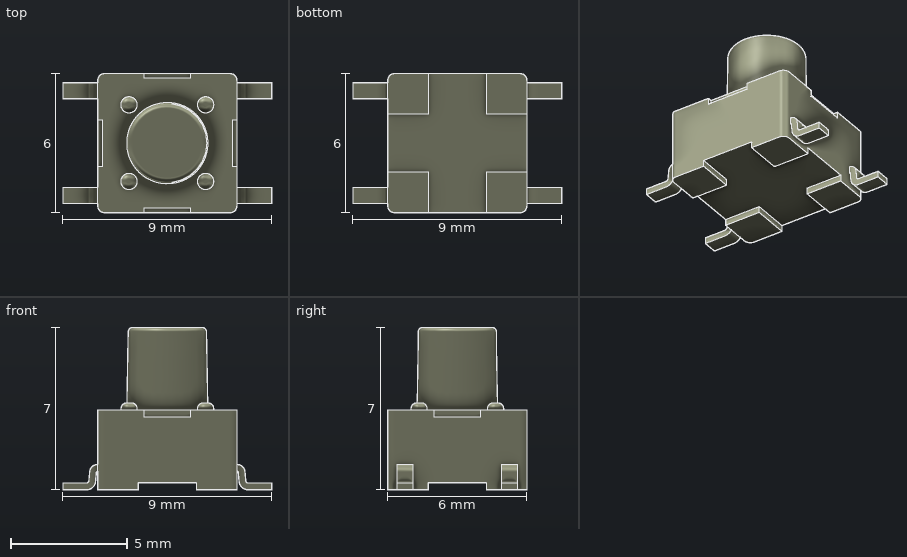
import cadquery as cq
import math

body_side = 6.0
corner_radius = 0.3
cover_thickness = 0.3
housing_height = 3.45
body_height = housing_height - cover_thickness

underside_channel_width = 2.5
underside_channel_depth = 0.3
cover_notch_width = 2.0
cover_notch_depth = 0.2

overall_height = 7.0
button_base_diameter = 3.5
button_draft_degrees = 1.0
button_rim_radius = 0.2

rivet_diameter = 0.7
rivet_spacing = 3.3
rivet_rim_height = 0.05
rivet_round_radius = 0.25

lead_span = 9.0
lead_width = 0.7
lead_pitch = 4.5
lead_thickness = 0.3
lead_top = 1.1
lead_lean_degrees = 5.0
lead_foot_inner_radius = 0.1
lead_shoulder_inner_radius = 0.05
lead_embed = 0.3


def make_housing():
    """Block and cover plate with rounded vertical corners."""
    block = cq.Workplane("XY").rect(body_side, body_side).extrude(body_height)
    cover = (
        cq.Workplane("XY")
        .workplane(offset=body_height)
        .rect(body_side, body_side)
        .extrude(cover_thickness)
    )
    block = block.edges("|Z").fillet(corner_radius)
    cover = cover.edges("|Z").fillet(corner_radius)
    return cut_underside_channels(block).union(cut_cover_notches(cover), clean=False)


def cut_underside_channels(block):
    """Crossed channels along X and Y leave four corner feet."""
    for length_x, length_y in (
        (body_side, underside_channel_width),
        (underside_channel_width, body_side),
    ):
        channel = cq.Workplane("XY").rect(length_x, length_y).extrude(underside_channel_depth)
        block = block.cut(channel)
    return block


def cut_cover_notches(cover):
    """One shallow notch in the middle of each cover edge."""
    notch = (
        cq.Workplane("XY")
        .workplane(offset=body_height)
        .center(body_side / 2 - cover_notch_depth / 2, 0)
        .rect(cover_notch_depth, cover_notch_width)
        .extrude(cover_thickness)
    )
    for angle in (0, 90, 180, 270):
        cover = cover.cut(notch.rotate((0, 0, 0), (0, 0, 1), angle))
    return cover


def make_button():
    """Plunger that narrows upward from the cover."""
    button = (
        cq.Workplane("XY")
        .workplane(offset=housing_height)
        .circle(button_base_diameter / 2)
        .extrude(overall_height - housing_height, taper=button_draft_degrees)
    )
    return button.faces(">Z").edges().fillet(button_rim_radius)


def make_rivets():
    """Four domed rivet heads, each with a short rim and a small flat on top."""
    rivets = (
        cq.Workplane("XY")
        .workplane(offset=housing_height)
        .rect(rivet_spacing, rivet_spacing, forConstruction=True)
        .vertices()
        .circle(rivet_diameter / 2)
        .extrude(rivet_rim_height + rivet_round_radius)
    )
    return rivets.faces(">Z").edges().fillet(rivet_round_radius)


def bend_point(center, radius, degrees):
    """Point on a lead bend at the given angle around its center."""
    angle = math.radians(degrees)
    return (center[0] + radius * math.cos(angle), center[1] + radius * math.sin(angle))


def make_lead():
    """Lead on the +X side, centered on Y = 0: shoulder, leaning riser and flat foot."""
    tip_x = lead_span / 2
    root_x = body_side / 2 - lead_embed
    lean = math.radians(lead_lean_degrees)
    shoulder_outer_radius = lead_shoulder_inner_radius + lead_thickness
    foot_outer_radius = lead_foot_inner_radius + lead_thickness

    shoulder = (body_side / 2, lead_top - shoulder_outer_radius)
    bend_drop = shoulder[1] - foot_outer_radius
    bend_offset = shoulder_outer_radius + lead_foot_inner_radius
    foot_x = shoulder[0] + (bend_offset + bend_drop * math.sin(lean)) / math.cos(lean)
    foot = (foot_x, foot_outer_radius)

    shoulder_end = lead_lean_degrees
    shoulder_middle = (lead_lean_degrees + 90) / 2
    foot_end = 180 + lead_lean_degrees
    foot_middle = (foot_end + 270) / 2

    profile = (
        cq.Workplane("XZ")
        .moveTo(tip_x, 0)
        .lineTo(tip_x, lead_thickness)
        .lineTo(foot_x, lead_thickness)
        .threePointArc(
            bend_point(foot, lead_foot_inner_radius, foot_middle),
            bend_point(foot, lead_foot_inner_radius, foot_end),
        )
        .lineTo(*bend_point(shoulder, shoulder_outer_radius, shoulder_end))
        .threePointArc(
            bend_point(shoulder, shoulder_outer_radius, shoulder_middle),
            (shoulder[0], lead_top),
        )
        .lineTo(root_x, lead_top)
        .lineTo(root_x, lead_top - lead_thickness)
        .lineTo(shoulder[0], lead_top - lead_thickness)
        .threePointArc(
            bend_point(shoulder, lead_shoulder_inner_radius, shoulder_middle),
            bend_point(shoulder, lead_shoulder_inner_radius, shoulder_end),
        )
        .lineTo(*bend_point(foot, foot_outer_radius, foot_end))
        .threePointArc(
            bend_point(foot, foot_outer_radius, foot_middle),
            (foot_x, 0),
        )
        .close()
    )
    return profile.extrude(lead_width / 2, both=True)


def make_leads():
    """Two leads on each of the +X and -X sides."""
    lead = make_lead()
    return [
        side.translate((0, y, 0))
        for side in (lead, lead.mirror("YZ"))
        for y in (-lead_pitch / 2, lead_pitch / 2)
    ]


result = make_housing()
for piece in [make_button(), make_rivets(), *make_leads()]:
    result = result.union(piece, clean=False)